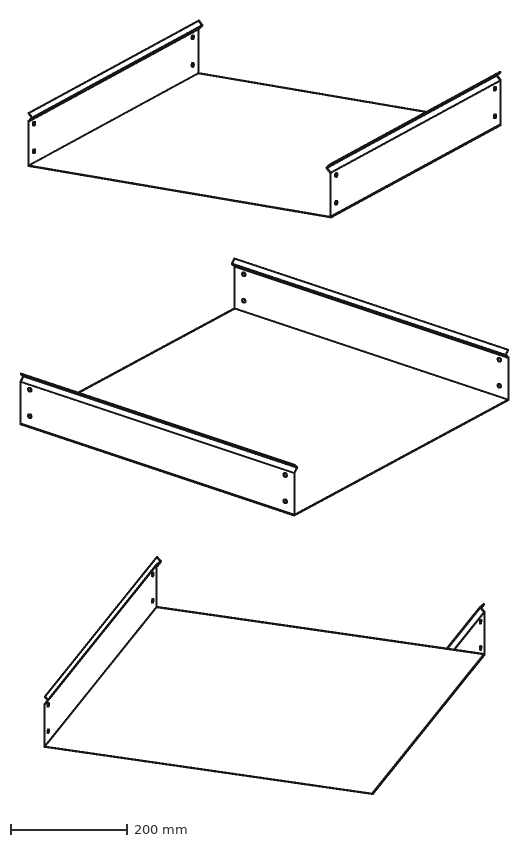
import cadquery as cq
import math

width = 597.74
length = 600.0
height = 96.25
thickness = 1.25
wall_height = 81.0
fold_depth = 7.5
bend_angle = 45.0

hole_diameter = 7.0
hole_end_distance = 20.0
hole_heights_above_floor = (20.0, 70.0)

half_width = width / 2
half_inner_width = half_width - thickness


def section_half():
    """Points of the right half section, outer face first and inner face back."""
    diagonal_step = thickness * math.cos(math.radians(bend_angle))
    wall_bend_shift = thickness * math.tan(math.radians(bend_angle / 2))
    apex_shift = thickness / math.cos(math.radians(bend_angle))

    outer_apex_x = half_width - fold_depth
    apex_z = wall_height + fold_depth
    inner_apex_x = outer_apex_x - apex_shift

    inner_tip_x = inner_apex_x + (height - apex_z)
    outer_tip = (inner_tip_x + diagonal_step, height - diagonal_step)

    outer_face = [(half_width, 0), (half_width, wall_height), (outer_apex_x, apex_z), outer_tip]
    inner_face = [
        (inner_tip_x, height),
        (inner_apex_x, apex_z),
        (half_inner_width, wall_height - wall_bend_shift),
        (half_inner_width, thickness),
    ]
    return outer_face + inner_face


def make_tray():
    """Extrude the symmetric floor, wall and lip section along Y."""
    right = section_half()
    left = [(-x, z) for x, z in reversed(right)]
    section = cq.Workplane("XZ").polyline(right + left).close()
    return section.extrude(length / 2, both=True)


def make_wall_holes():
    """Cylinders along X that pass through both walls."""
    hole_y = length / 2 - hole_end_distance
    hole_z = [thickness + z for z in hole_heights_above_floor]
    centers = [(y, z) for y in (-hole_y, hole_y) for z in hole_z]
    drilling = cq.Workplane("YZ").pushPoints(centers).circle(hole_diameter / 2)
    return drilling.extrude(half_width, both=True)


result = make_tray().cut(make_wall_holes())